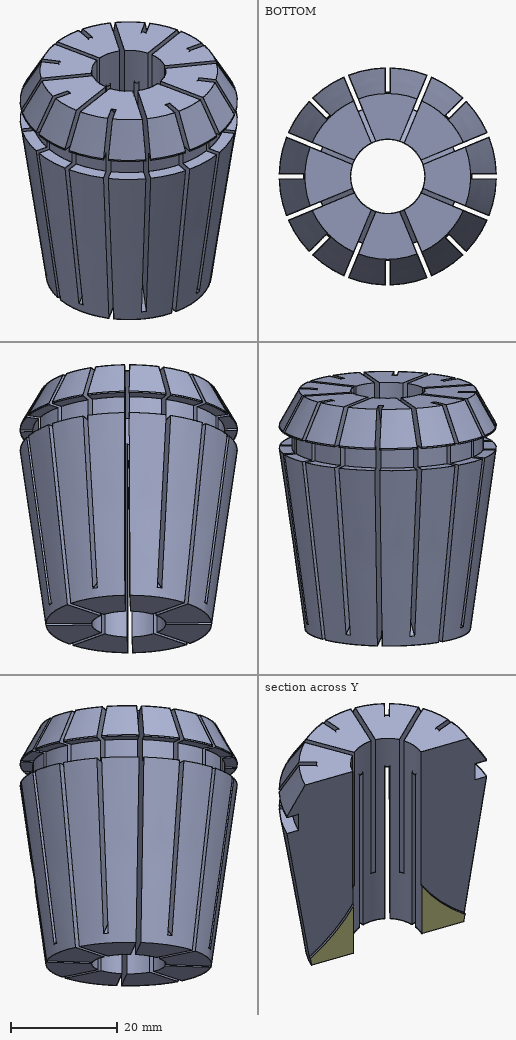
import cadquery as cq
import math

HEIGHT = 46.0
BORE_RADIUS = 7.0
BASE_RADIUS = 15.65
RIM_DIAMETER = 41.0
RIM_RADIUS = RIM_DIAMETER / 2
TOP_RADIUS = 16.75

GROOVE_RADIUS = 18.12
GROOVE_BOTTOM = 34.95
GROOVE_TOP = 39.0
RIM_LAND = 0.28

SLOT_COUNT = 8
SLOT_WIDTH = 0.9
SAW_RADIUS = 35.4
CUT_REACH = 2.3
CUT_INNER = BORE_RADIUS - CUT_REACH
CUT_OUTER = RIM_RADIUS + CUT_REACH
CUT_TOP = HEIGHT + CUT_REACH
CUT_BOTTOM = -CUT_REACH

TOP_SLOT_BORE_Z = 12.25
TOP_SLOT_OUTER_Z = 1.85
TAPER_SLOPE = (RIM_RADIUS - BASE_RADIUS) / GROOVE_BOTTOM
TOP_SLOT_OUTER_RADIUS = BASE_RADIUS + TAPER_SLOPE * TOP_SLOT_OUTER_Z

BASE_SLOT_BORE_Z = 38.75
BASE_SLOT_TOP_RADIUS = 13.5


def collet_blank():
    """Turned blank: bore, long taper, groove and conical clamping head."""
    outline = [
        (BORE_RADIUS, 0),
        (BASE_RADIUS, 0),
        (RIM_RADIUS, GROOVE_BOTTOM),
        (GROOVE_RADIUS, GROOVE_BOTTOM),
        (GROOVE_RADIUS, GROOVE_TOP),
        (RIM_RADIUS, GROOVE_TOP),
        (RIM_RADIUS, GROOVE_TOP + RIM_LAND),
        (TOP_RADIUS, HEIGHT),
        (BORE_RADIUS, HEIGHT),
    ]
    return cq.Workplane("XZ").polyline(outline).close().revolve(360, (0, 0), (0, 1))


def saw_arc_middle(start, end):
    """Middle of the saw-blade arc, bulging to the left when heading from start to end."""
    run = end[0] - start[0]
    rise = end[1] - start[1]
    chord = math.hypot(run, rise)
    bulge = SAW_RADIUS - math.sqrt(SAW_RADIUS**2 - (chord / 2) ** 2)
    middle_r = (start[0] + end[0]) / 2 - bulge * rise / chord
    middle_z = (start[1] + end[1]) / 2 + bulge * run / chord
    return middle_r, middle_z


def top_slot():
    """Radial cutter along +X, open at the top and resting on a curved floor."""
    floor_outer = (TOP_SLOT_OUTER_RADIUS, TOP_SLOT_OUTER_Z)
    floor_inner = (BORE_RADIUS, TOP_SLOT_BORE_Z)
    return (
        cq.Workplane("XZ")
        .moveTo(CUT_INNER, CUT_TOP)
        .lineTo(CUT_OUTER, CUT_TOP)
        .lineTo(CUT_OUTER, TOP_SLOT_OUTER_Z)
        .lineTo(*floor_outer)
        .threePointArc(saw_arc_middle(floor_outer, floor_inner), floor_inner)
        .lineTo(CUT_INNER, TOP_SLOT_BORE_Z)
        .close()
        .extrude(SLOT_WIDTH / 2, both=True)
    )


def base_slot():
    """Radial cutter along +X, open at the base and closed by a curved end at the top."""
    end_inner = (BORE_RADIUS, BASE_SLOT_BORE_Z)
    end_outer = (BASE_SLOT_TOP_RADIUS, HEIGHT)
    return (
        cq.Workplane("XZ")
        .moveTo(CUT_INNER, CUT_BOTTOM)
        .lineTo(CUT_INNER, BASE_SLOT_BORE_Z)
        .lineTo(*end_inner)
        .threePointArc(saw_arc_middle(end_inner, end_outer), end_outer)
        .lineTo(BASE_SLOT_TOP_RADIUS, CUT_TOP)
        .lineTo(CUT_OUTER, CUT_TOP)
        .lineTo(CUT_OUTER, CUT_BOTTOM)
        .close()
        .extrude(SLOT_WIDTH / 2, both=True)
    )


slot_pitch = 360 / SLOT_COUNT
result = collet_blank()
for index in range(SLOT_COUNT):
    angle = index * slot_pitch
    result = result.cut(top_slot().rotate((0, 0, 0), (0, 0, 1), angle))
    result = result.cut(base_slot().rotate((0, 0, 0), (0, 0, 1), angle + slot_pitch / 2))